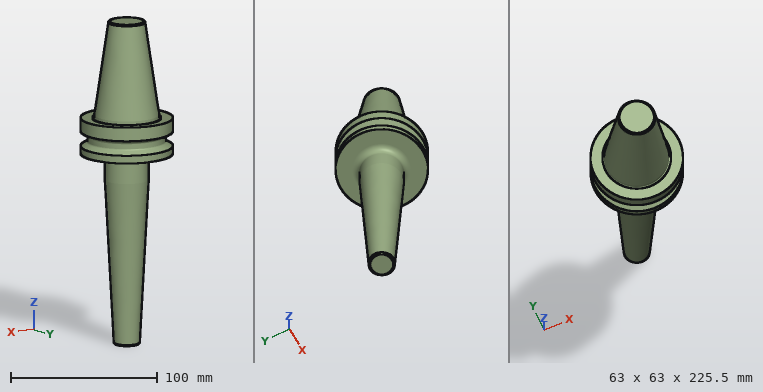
import cadquery as cq
import math

total_length = 225.5
gauge_height = 160.0
flange_top = 158.0
flange_bottom = 133.0
groove_top = 148.5
groove_bottom = 138.5
neck_bottom = 114.7

gauge_diameter = 44.5
flange_radius = 31.5
groove_radius = 26.8
neck_radius = 15.0
tip_radius = 9.0

taper_ratio = 7 / 24
groove_wall_angle = 30.0

taper_chamfer = 1.0
trough_outer_radius = 23.5
groove_fillet = 1.1
neck_fillet = 4.7
tip_chamfer = 1.1

gauge_radius = gauge_diameter / 2
taper_end_radius = gauge_radius - (total_length - gauge_height) * taper_ratio / 2
trough_middle_radius = (gauge_radius + trough_outer_radius) / 2
trough_depth = (trough_outer_radius - gauge_radius) / 2
groove_wall_height = (flange_radius - groove_radius) * math.tan(math.radians(groove_wall_angle))


def make_arbor():
    """Turned body: spindle taper, flange with a round trough at its root, neck and nose."""
    profile = (
        cq.Workplane("XZ")
        .moveTo(0, 0)
        .lineTo(tip_radius - tip_chamfer, 0)
        .lineTo(tip_radius, tip_chamfer)
        .lineTo(neck_radius, neck_bottom)
        .lineTo(neck_radius, flange_bottom - neck_fillet)
        .radiusArc((neck_radius + neck_fillet, flange_bottom), neck_fillet)
        .lineTo(flange_radius, flange_bottom)
        .lineTo(flange_radius, flange_top)
        .lineTo(trough_outer_radius, flange_top)
        .threePointArc(
            (trough_middle_radius, flange_top - trough_depth),
            (gauge_radius, flange_top),
        )
        .lineTo(gauge_radius, gauge_height)
        .lineTo(taper_end_radius, total_length - taper_chamfer)
        .lineTo(taper_end_radius - taper_chamfer, total_length)
        .lineTo(0, total_length)
        .close()
    )
    return profile.revolve(360, (0, 0, 0), (0, 1, 0))


def make_gripper_groove():
    """Ring that cuts the V-shaped gripper groove, with rounded root corners."""
    ring = (
        cq.Workplane("XZ")
        .moveTo(flange_radius, groove_bottom)
        .lineTo(groove_radius, groove_bottom + groove_wall_height)
        .lineTo(groove_radius, groove_top - groove_wall_height)
        .lineTo(flange_radius, groove_top)
        .close()
        .revolve(360, (0, 0, 0), (0, 1, 0))
    )
    root_edges = ring.edges(cq.selectors.RadiusNthSelector(0))
    return root_edges.fillet(groove_fillet)


result = make_arbor().cut(make_gripper_groove())